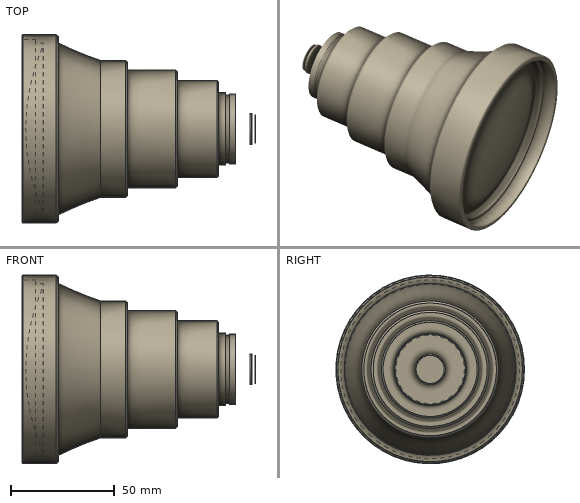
import cadquery as cq


hood_diameter = 91.0
hood_length = 17.5
front_edge_chamfer = 0.5
thread_bore_diameter = 86.3
thread_bore_depth = 6.5
lens_bore_diameter = 83.0
lens_bore_depth = 10.1

lens_diameter = 82.1
lens_seat_depth = 0.4
lens_dome_height = 8.7

flare_diameter = 82.9
flare_end = 37.9
flare_hollow = 0.4

focus_ring_diameter = 66.0
focus_ring_end = 51.0
iris_ring_diameter = 57.0
iris_ring_end = 75.0
rear_barrel_diameter = 47.0
mount_face = 94.77
ring_chamfer = 1.0
rear_barrel_chamfer = 0.8

mount_shoulder_diameter = 35.0
mount_shoulder_length = 3.5
thread_relief_diameter = 33.0
thread_relief_length = 1.8
mount_thread_diameter = 34.0
mount_thread_end = 103.0

filter_diameter = 14.79
filter_thickness = 1.0
filter_start = 109.95
sensor_diameter = 13.6
sensor_thickness = 0.3
sensor_end = 112.65


def barrel_profile():
    """Half section of the barrel in the XY plane, with Y as the radius."""
    hood_radius = hood_diameter / 2
    thread_bore_radius = thread_bore_diameter / 2
    lens_bore_radius = lens_bore_diameter / 2
    flare_radius = flare_diameter / 2
    focus_ring_radius = focus_ring_diameter / 2
    iris_ring_radius = iris_ring_diameter / 2
    rear_barrel_radius = rear_barrel_diameter / 2
    shoulder_radius = mount_shoulder_diameter / 2
    relief_radius = thread_relief_diameter / 2
    thread_radius = mount_thread_diameter / 2

    dome_radius = lens_diameter / 2
    dome_base = lens_bore_depth + lens_seat_depth
    apex = dome_base - lens_dome_height
    sphere_radius = (dome_radius**2 + lens_dome_height**2) / (2 * lens_dome_height)
    dome_mid_radius = dome_radius / 2
    dome_mid = apex + sphere_radius - (sphere_radius**2 - dome_mid_radius**2) ** 0.5

    flare_mid = ((hood_length + flare_end) / 2, (flare_radius + focus_ring_radius) / 2 - flare_hollow)
    shoulder_end = mount_face + mount_shoulder_length
    relief_end = shoulder_end + thread_relief_length

    return (
        cq.Workplane("XY")
        .moveTo(apex, 0)
        .threePointArc((dome_mid, dome_mid_radius), (dome_base, dome_radius))
        .lineTo(lens_bore_depth, lens_bore_radius)
        .lineTo(thread_bore_depth, lens_bore_radius)
        .lineTo(thread_bore_depth, thread_bore_radius)
        .lineTo(0, thread_bore_radius)
        .lineTo(0, hood_radius - front_edge_chamfer)
        .lineTo(front_edge_chamfer, hood_radius)
        .lineTo(hood_length - ring_chamfer, hood_radius)
        .lineTo(hood_length, hood_radius - ring_chamfer)
        .lineTo(hood_length, flare_radius)
        .threePointArc(flare_mid, (flare_end, focus_ring_radius))
        .lineTo(focus_ring_end - ring_chamfer, focus_ring_radius)
        .lineTo(focus_ring_end, focus_ring_radius - ring_chamfer)
        .lineTo(focus_ring_end, iris_ring_radius)
        .lineTo(iris_ring_end - ring_chamfer, iris_ring_radius)
        .lineTo(iris_ring_end, iris_ring_radius - ring_chamfer)
        .lineTo(iris_ring_end, rear_barrel_radius)
        .lineTo(mount_face - rear_barrel_chamfer, rear_barrel_radius)
        .lineTo(mount_face, rear_barrel_radius - rear_barrel_chamfer)
        .lineTo(mount_face, shoulder_radius)
        .lineTo(shoulder_end, shoulder_radius)
        .lineTo(shoulder_end, relief_radius)
        .lineTo(relief_end, relief_radius)
        .lineTo(relief_end, thread_radius)
        .lineTo(mount_thread_end, thread_radius)
        .lineTo(mount_thread_end, 0)
        .close()
    )


def make_barrel():
    return barrel_profile().revolve(360, (0, 0, 0), (1, 0, 0))


def make_disc(start, diameter, thickness):
    """Flat round disc on the lens axis, from start toward +X."""
    return cq.Workplane("YZ", origin=(start, 0, 0)).circle(diameter / 2).extrude(thickness)


barrel = make_barrel()
light_filter = make_disc(filter_start, filter_diameter, filter_thickness)
sensor = make_disc(sensor_end - sensor_thickness, sensor_diameter, sensor_thickness)

result = cq.Compound.makeCompound([barrel.val(), light_filter.val(), sensor.val()])